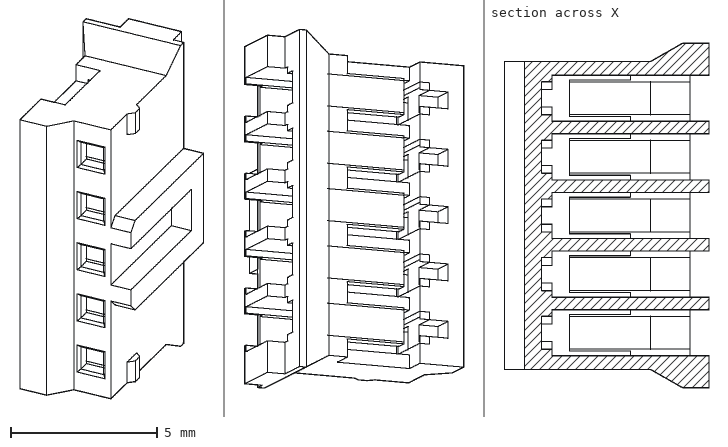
import cadquery as cq


height = 11.8
width = 4.5
depth = 7.0

contact_count = 5
pitch = 2.01
contact_x = 2.97

body_left = 0.63
body_right = 3.73
body_front = 0.75
lip_tip = 1.65
lip_root = 2.31
body_height = height - 2 * body_left

plate_back = depth - 0.65
plate_front = depth - 0.9
flare_front = depth - 2.0

comb_left = 1.3
comb_right = 3.33

bump_rise = 0.21
bump_length = 0.81
bump_front = 2.01
bump_base = 0.73
bump_top = 0.34

latch_height = 3.5
latch_gap = 1.62
latch_chamfer = 0.32
latch_back = depth - 0.66
latch_arm = (latch_height - latch_gap) / 2

slot_back = depth - 2.69
slot_front = 1.63
slot_right = 1.55
tongue_front = 2.22
tongue_right = 1.09
tongue_height = 1.26

skin = 0.01
wide_channel_height = 1.57
wide_channel_right = 3.2
narrow_channel_height = 1.12
narrow_channel_right = contact_x + narrow_channel_height / 2
chamber_front = 1.27

window_inner = 0.87
window_outer = 1.06
notch_front = 0.58
notch_height = 0.59

contact_levels = [(i - (contact_count - 1) / 2) * pitch for i in range(contact_count)]


def block(x0, x1, y0, y1, z_middle, z_size):
    """Box between two X and two Y positions, centred on a Z level."""
    centre = ((x0 + x1) / 2, (y0 + y1) / 2, z_middle)
    return cq.Workplane("XY").box(x1 - x0, y1 - y0, z_size).translate(centre)


def prism(outline, z_middle, z_size):
    """XY outline extruded along Z, centred on a Z level."""
    base = cq.Workplane("XY").workplane(offset=z_middle - z_size / 2)
    return base.polyline(outline).close().extrude(z_size)


def make_body():
    outline = [
        (body_left, 0),
        (lip_tip, 0),
        (lip_root, body_front),
        (body_right, body_front),
        (body_right, plate_back),
        (body_left, plate_back),
    ]
    return prism(outline, 0, body_height)


def make_flare():
    """Rear plate and the flare that widens to it on the -X side and both ends."""
    plate = block(0, body_right, plate_front, plate_back, 0, height)
    flare_middle = ((body_left + body_right) / 2, flare_front, 0)
    rear_shift = -body_left / 2
    flare = (
        cq.Workplane("XZ", origin=flare_middle)
        .rect(body_right - body_left, body_height)
        .workplane(offset=flare_front - plate_front)
        .center(rear_shift, 0)
        .rect(body_right, height)
        .loft(ruled=True)
    )
    return plate.union(flare)


def make_bumps():
    outline = [
        (body_right, bump_front),
        (body_right + bump_rise, bump_front + (bump_base - bump_top) / 2),
        (body_right + bump_rise, bump_front + (bump_base + bump_top) / 2),
        (body_right, bump_front + bump_base),
    ]
    level = (body_height - bump_length) / 2
    return prism(outline, level, bump_length).union(prism(outline, -level, bump_length))


def make_latch():
    """Two arms with chamfered outer front edges, joined by a bridge at the rear."""
    latch = block(body_right, width, body_front, latch_back, 0, latch_height)
    latch = latch.faces("<Y").edges("|X").chamfer(latch_chamfer)
    gap = block(body_right, width, body_front, latch_back - latch_arm, 0, latch_gap)
    return latch.cut(gap)


def make_slot():
    """Clearance around the tongues, open at both ends of the body."""
    slot = block(body_left, slot_right, slot_front, slot_back, 0, body_height)
    for level in contact_levels:
        tongue = block(body_left, tongue_right, tongue_front, slot_back, level, tongue_height)
        slot = slot.cut(tongue)
    return slot


def make_contact_cut(level):
    """Chamber open to the rear, lip notch, and front window with a bevelled mouth."""
    narrow = block(
        body_left + skin, narrow_channel_right, chamber_front, depth, level, narrow_channel_height
    )
    wide = block(tongue_right, wide_channel_right, slot_front, depth, level, wide_channel_height)
    rear_opening = block(0, width, plate_back, depth, level, narrow_channel_height)
    notch = block(body_left, slot_right, notch_front, slot_front, level, notch_height)

    window_left = contact_x - window_inner / 2
    window_right = contact_x + window_inner / 2
    window = block(window_left, window_right, body_front, chamber_front, level, window_inner)
    bevel_depth = (window_outer - window_inner) / 2
    mouth = (
        cq.Workplane("XZ", origin=(contact_x, body_front, level))
        .rect(window_outer, window_outer)
        .workplane(offset=-bevel_depth)
        .rect(window_inner, window_inner)
        .loft(ruled=True)
    )
    return narrow.union(wide).union(rear_opening).union(notch).union(window).union(mouth)


comb = block(comb_left, comb_right, plate_back, depth, 0, height)

result = make_body().union(make_flare()).union(comb).union(make_bumps())
result = result.cut(make_slot())
for contact_level in contact_levels:
    result = result.cut(make_contact_cut(contact_level))
result = result.union(make_latch())